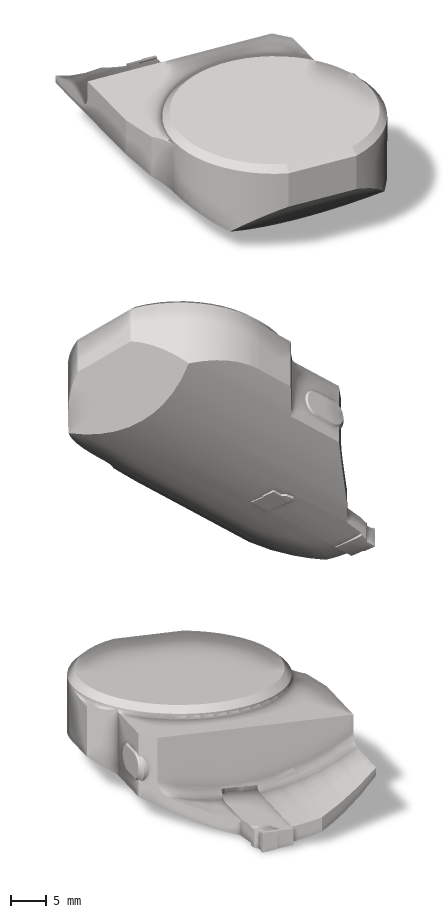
import cadquery as cq
import math


disc_radius = 16.0
disc_height = 1.65
disc_chamfer_width = 1.05
disc_chamfer_height = 0.95
disc_foot_radius = 0.4
foot_start_angle = 93.0
foot_end_angle = 264.0
end_flat_x = 15.05

front_side_y = -18.85
back_side_y = 12.55
nose_x = -37.15
nose_corner_y = -8.85
front_corner_x = -31.6
front_taper_x = -9.5
front_taper_end = (-3.75, -17.7)
back_corner_x = -19.15
nose_bend = (-28.2, 4.8)
nose_back_y = 0.0
nose_back_x = nose_bend[0] - (nose_bend[1] - nose_back_y)
shoulder_x = -9.8
shoulder_end_x = shoulder_x + disc_radius - back_side_y

belly_radius = 30.0
belly_depth = 12.3
wall_x = -21.55
floor_radius = 34.95
floor_depth = 9.95
floor_fillet = 1.55
end_bevel_depth = 4.85

pad_left_x = -20.45
pad_right_x = -12.15
pad_width = 5.0
pad_z = -5.2
pad_top_y = 12.8
pad_root_y = 10.1
pad_chamfer = 0.65

overall_length = 53.1
tip_x = end_flat_x - overall_length
tip_back_y = 0.3
tip_front_y = -1.9
insert_front_x = -37.9
insert_front_y = -4.35
insert_back_y = 1.45
insert_end_x = -18.05
insert_middle_x = (tip_x + insert_end_x) / 2
neck_start = (-35.95, 0.8)
neck_step = 0.55
neck_end_x = -31.6
insert_top_z = -9.7
insert_bottom_z = -12.7
insert_bottom_front_z = -12.15
bearing_length = 3.3
pocket_depth = 0.2
pocket_front_x = -37.65
pocket_low_corner = (-37.35, -2.8)
pocket_floor_end = (-35.4, -1.7)
pocket_ramp_end = (-34.45, 1.15)

clearance_top_z = -8.85
clearance_back_y = 0.95
clearance_deep_x = -21.1
clearance_step_start_y = -2.3
clearance_step_end_y = -1.5
clearance_bevel_y = 0.3

reach = 63.7


def make_outline(height, base_z):
    """Prism with the plan outline of the holder."""
    rise = -disc_radius - front_taper_end[1]
    run = -front_taper_end[0]
    blend_radius = (run**2 + rise**2) / (2 * rise)
    blend_center_y = -disc_radius - blend_radius
    blend_half_angle = math.asin(run / blend_radius) / 2
    blend_mid = (
        -blend_radius * math.sin(blend_half_angle),
        blend_center_y + blend_radius * math.cos(blend_half_angle),
    )
    flat_half = math.sqrt(disc_radius**2 - end_flat_x**2)
    diagonal = disc_radius * math.sqrt(0.5)
    return (
        cq.Workplane("XY")
        .workplane(offset=base_z)
        .moveTo(nose_x, nose_back_y)
        .lineTo(nose_x, nose_corner_y)
        .lineTo(front_corner_x, front_side_y)
        .lineTo(front_taper_x, front_side_y)
        .lineTo(*front_taper_end)
        .threePointArc(blend_mid, (0, -disc_radius))
        .threePointArc((diagonal, -diagonal), (end_flat_x, -flat_half))
        .lineTo(end_flat_x, flat_half)
        .threePointArc((diagonal, diagonal), (0, disc_radius))
        .lineTo(shoulder_end_x, disc_radius)
        .lineTo(shoulder_x, back_side_y)
        .lineTo(back_corner_x, back_side_y)
        .lineTo(*nose_bend)
        .lineTo(nose_back_x, nose_back_y)
        .close()
        .extrude(height)
    )


def make_x_cylinder(radius, lowest_z):
    """Long cylinder along X whose lowest line lies at the given height."""
    return (
        cq.Workplane("YZ")
        .workplane(offset=-reach)
        .center(0, radius + lowest_z)
        .circle(radius)
        .extrude(2 * reach)
    )


def make_jaw_cutter():
    """Space above the hollow jaw floor, rounded where the floor meets the wall."""
    cylinder = (
        cq.Workplane("YZ")
        .workplane(offset=wall_x)
        .center(0, floor_radius - floor_depth)
        .circle(floor_radius)
        .extrude(-reach)
    )
    return cylinder.faces(">X").edges().fillet(floor_fillet)


def make_disc():
    """Chamfered disc standing on the deck, cut off at the end flat."""
    disc = cq.Workplane("XY").circle(disc_radius).extrude(disc_height)
    rim = disc.faces(">Z").edges()
    disc = cq.Workplane(
        disc.val().chamfer(disc_chamfer_height, disc_chamfer_width, rim.vals())
    )
    beyond_flat = cq.Workplane("XY").box(reach, reach, reach).translate((end_flat_x + reach / 2, 0, 0))
    return disc.cut(beyond_flat)


def make_disc_foot():
    """Concave fillet between disc and deck, only where the deck reaches beyond the disc."""
    outer = disc_radius + disc_foot_radius
    mid_shift = disc_foot_radius * (1 - math.sqrt(0.5))
    foot = (
        cq.Workplane("XZ")
        .moveTo(disc_radius - disc_foot_radius, 0)
        .lineTo(outer, 0)
        .threePointArc((disc_radius + mid_shift, mid_shift), (disc_radius, disc_foot_radius))
        .lineTo(disc_radius - disc_foot_radius, disc_foot_radius)
        .close()
        .revolve(foot_end_angle - foot_start_angle, (0, 0, 0), (0, 1, 0))
        .rotate((0, 0, 0), (0, 0, 1), foot_start_angle)
    )
    return foot.intersect(make_outline(disc_height, 0))


def make_disc_flat_chamfer():
    """Wedge that continues the disc chamfer along the end flat."""
    return (
        cq.Workplane("XZ")
        .moveTo(end_flat_x, disc_height - disc_chamfer_height)
        .lineTo(end_flat_x, disc_height)
        .lineTo(end_flat_x - disc_chamfer_width, disc_height)
        .close()
        .extrude(disc_radius, both=True)
    )


def make_end_bevel():
    """Wedge below the end flat, removed at 45 degrees."""
    drop = belly_depth - end_bevel_depth
    return (
        cq.Workplane("XZ")
        .moveTo(end_flat_x, -end_bevel_depth)
        .lineTo(end_flat_x, -end_bevel_depth - drop)
        .lineTo(end_flat_x - drop, -end_bevel_depth - drop)
        .close()
        .extrude(disc_radius, both=True)
    )


def make_pad():
    """Slot-shaped chamfered pad on the back side."""
    pad = (
        cq.Workplane("XZ", origin=((pad_left_x + pad_right_x) / 2, pad_root_y, pad_z))
        .slot2D(pad_right_x - pad_left_x, pad_width)
        .extrude(pad_root_y - pad_top_y)
    )
    return pad.faces(">Y").edges().chamfer(pad_chamfer)


def mirror_to_far_end(shape):
    """Copy of a shape at the opposite end of the insert."""
    return shape.mirror("YZ", (insert_middle_x, 0, 0))


def make_insert_blank():
    """Double-ended insert before its chip pockets: level top and two bearing ends below."""
    half = (
        cq.Workplane("XY")
        .workplane(offset=insert_bottom_z)
        .polyline([
            (tip_x, tip_back_y),
            (tip_x, tip_front_y),
            (insert_front_x, tip_front_y),
            (insert_front_x, insert_front_y),
            (insert_middle_x, insert_front_y),
            (insert_middle_x, insert_back_y),
            (neck_end_x, insert_back_y),
            neck_start,
            (neck_start[0] - neck_step, tip_back_y),
        ])
        .close()
        .extrude(insert_top_z - insert_bottom_z)
    )
    blank = half.union(mirror_to_far_end(half)).clean()

    underside = (
        cq.Workplane("YZ")
        .workplane(offset=-reach)
        .polyline([
            (0, insert_bottom_z),
            (insert_front_y, insert_bottom_front_z),
            (insert_front_y, insert_bottom_z),
        ])
        .close()
        .extrude(reach)
    )

    relief_length = insert_end_x - tip_x - 2 * bearing_length
    relief = (
        cq.Workplane("XY")
        .box(relief_length, reach, reach)
        .translate((insert_middle_x, 0, 0))
        .cut(make_x_cylinder(belly_radius, -belly_depth))
    )
    return blank.cut(underside).cut(relief)


def make_chip_pocket():
    """Shallow pocket behind the cutting edge, with a ramp at its end."""
    floor_z = insert_top_z - pocket_depth
    plan = (
        cq.Workplane("XY")
        .workplane(offset=floor_z)
        .polyline([
            (pocket_front_x, insert_back_y),
            pocket_low_corner,
            pocket_floor_end,
            pocket_ramp_end,
            (pocket_ramp_end[0], insert_back_y),
        ])
        .close()
        .extrude(pocket_depth)
    )
    side = (
        cq.Workplane("XZ")
        .polyline([
            (tip_x, floor_z),
            (pocket_floor_end[0], floor_z),
            (pocket_ramp_end[0], insert_top_z),
            (tip_x, insert_top_z),
        ])
        .close()
        .extrude(reach, both=True)
    )
    return plan.intersect(side)


def make_clearance():
    """Recess that keeps the jaw floor and the wall clear of the insert top."""
    return (
        cq.Workplane("XY")
        .workplane(offset=insert_top_z)
        .polyline([
            (tip_x, insert_front_y),
            (wall_x, insert_front_y),
            (wall_x, clearance_step_start_y),
            (clearance_deep_x, clearance_step_end_y),
            (clearance_deep_x, clearance_bevel_y),
            (wall_x, clearance_back_y),
            (tip_x, clearance_back_y),
        ])
        .close()
        .extrude(clearance_top_z - insert_top_z)
    )


def make_holder(insert_blank):
    """Holder with disc, jaw and a slot that fits the insert."""
    body = make_outline(belly_depth, -belly_depth)
    body = body.intersect(make_x_cylinder(belly_radius, -belly_depth))
    body = body.cut(make_jaw_cutter())
    body = body.union(make_disc()).union(make_disc_foot())
    body = body.cut(make_disc_flat_chamfer()).cut(make_end_bevel())
    return body.union(make_pad()).cut(insert_blank).cut(make_clearance())


insert_blank = make_insert_blank()
chip_pocket = make_chip_pocket()
insert = insert_blank.cut(chip_pocket).cut(mirror_to_far_end(chip_pocket))
holder = make_holder(insert_blank)

result = cq.Compound.makeCompound([holder.val(), insert.val()])